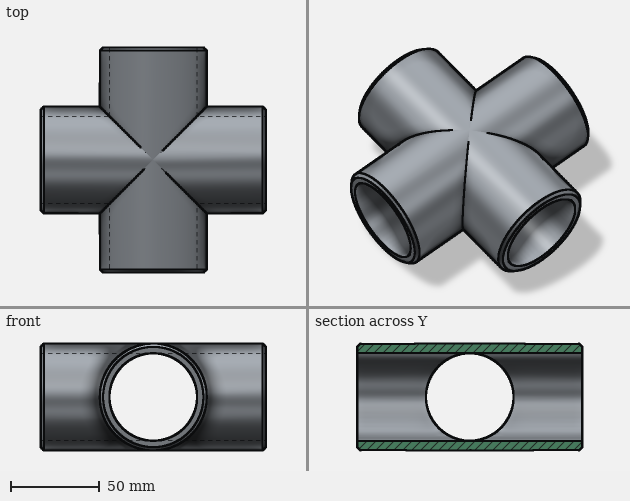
import cadquery as cq

length = 127.0
outer_diameter = 60.3
bore_diameter = 49.3
end_chamfer = 1.9

run_planes = ("YZ", "XZ")


def centred_cylinder(plane, diameter):
    """Full-length cylinder centred on the origin along the plane's normal."""
    return cq.Workplane(plane).circle(diameter / 2).extrude(length / 2, both=True)


def outer_pipe(plane):
    """Solid pipe run with a chamfer around each flat end."""
    return centred_cylinder(plane, outer_diameter).faces("%PLANE").chamfer(end_chamfer)


body = cq.Workplane()
for run_plane in run_planes:
    body = body.add(outer_pipe(run_plane))
body = body.combine()

for run_plane in run_planes:
    body = body.cut(centred_cylinder(run_plane, bore_diameter))

result = body